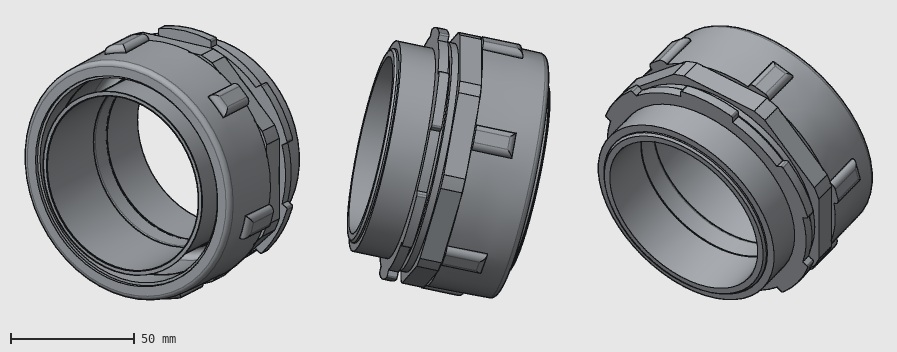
import cadquery as cq
import math


nut_front = 3.1
nut_shoulder = 15.3
seal_front = 16.3
nut_rear = 31.4
lip_front = 33.6
sleeve_rear = 33.8
valley_start = 36.2
seal_shoulder = 39.6
hex_rear = 40.5
seal_rear = 43.0
gasket_rear = 43.3
locknut_front = 45.1
locknut_rear = 49.2
body_rear = 63.7
overall_length = 65.4

sleeve_bore = 74.0
sleeve_wall = 0.2
flange_diameter = 78.0
flange_thickness = 0.4
flange_bore_chamfer = 0.3

through_bore = 73.5
seal_diameter = 89.0
seal_wall_diameter = 87.0
seal_lip_fillet = 1.1
bushing_diameter = 80.8
bushing_chamfer = 1.0
bushing_bore_chamfer = 0.4

octagon_sides = 8
octagon_across_flats = 99.1
octagon_corner_diameter = 105.0
thread_diameter = 87.5
neck_diameter = 92.0

gasket_diameter = 95.1

locknut_root_diameter = 98.9
locknut_tip_diameter = 104.6
lug_count = 6
lug_width = 25.8
lug_fillet = 0.8

nut_front_diameter = 101.6
nut_rear_diameter = 102.7
nut_fillet = 2.1
nut_recess_diameter = 89.4
nut_recess_depth = 1.5
rib_count = 6
rib_first_angle = 45.0
rib_top_radius = 53.9
rib_width = 10.6
rib_front = 14.5
rib_fillet = 2.6
rib_root_radius = 48.6


def plane_at(y):
    """Plane across the axis at y, with its normal along +Y and local Y along +Z."""
    return cq.Plane(origin=(0, y, 0), xDir=(-1, 0, 0), normal=(0, 1, 0))


def disc(diameter, y_front, y_rear):
    return cq.Workplane(plane_at(y_front)).circle(diameter / 2).extrude(y_rear - y_front)


def ring(outer_diameter, inner_diameter, y_front, y_rear):
    return disc(outer_diameter, y_front, y_rear).cut(disc(inner_diameter, y_front, y_rear))


def chamfer_front_bore(part, size):
    """Chamfer the smallest circle on the front face of a ring-shaped part."""
    return part.faces("<Y").edges(cq.selectors.RadiusNthSelector(0)).chamfer(size)


def make_sleeve():
    """Thin tube with a flange around its front end; its rear rests on the rounded lip of the seal."""
    outer_diameter = sleeve_bore + 2 * sleeve_wall
    tube = ring(outer_diameter, sleeve_bore, 0, sleeve_rear)
    flange = ring(flange_diameter, sleeve_bore, 0, flange_thickness)
    return chamfer_front_bore(tube.union(flange), flange_bore_chamfer)


def make_seal():
    """Cup with a round-bottomed valley between its outer wall and its inner lip."""
    bore_radius = through_bore / 2
    lip_radius = bore_radius + seal_lip_fillet
    wall_radius = seal_wall_diameter / 2
    valley_radius = (wall_radius - lip_radius) / 2
    fillet_middle = seal_lip_fillet * (1 - math.sqrt(0.5))
    return (
        cq.Workplane("XY")
        .moveTo(bore_radius, seal_rear)
        .lineTo(bore_radius, lip_front + seal_lip_fillet)
        .threePointArc(
            (bore_radius + fillet_middle, lip_front + fillet_middle),
            (lip_radius, lip_front),
        )
        .lineTo(lip_radius, valley_start)
        .threePointArc(
            (lip_radius + valley_radius, valley_start + valley_radius),
            (wall_radius, valley_start),
        )
        .lineTo(wall_radius, seal_front)
        .lineTo(seal_diameter / 2, seal_front)
        .lineTo(seal_diameter / 2, seal_shoulder)
        .lineTo(bushing_diameter / 2, seal_shoulder)
        .lineTo(bushing_diameter / 2, seal_rear)
        .close()
        .revolve(360, (0, 0, 0), (0, 1, 0))
    )


def make_bushing():
    """Ring behind the seal that stands out of the rear of the body."""
    bushing = disc(bushing_diameter, seal_rear, overall_length)
    bushing = bushing.faces(">Y").edges().chamfer(bushing_chamfer)
    bushing = bushing.cut(disc(through_bore, seal_rear, overall_length))
    return chamfer_front_bore(bushing, bushing_bore_chamfer)


def make_body():
    """Octagon between a front neck, which the cap nut covers, and a rear thread."""
    octagon = (
        cq.Workplane(plane_at(nut_rear))
        .polygon(octagon_sides, octagon_across_flats, circumscribed=True)
        .extrude(hex_rear - nut_rear)
        .intersect(disc(octagon_corner_diameter, nut_rear, hex_rear))
    )
    neck = disc(neck_diameter, nut_shoulder, nut_rear)
    thread = disc(thread_diameter, hex_rear, body_rear)
    body = octagon.union(neck).union(thread)
    body = body.cut(disc(seal_diameter, nut_shoulder, seal_shoulder))
    return body.cut(disc(bushing_diameter, seal_shoulder, body_rear))


def make_gasket():
    return ring(gasket_diameter, thread_diameter, hex_rear, gasket_rear)


def make_locknut():
    """Ring with lugs; each bar across it forms two opposite lugs."""
    thickness = locknut_rear - locknut_front
    locknut = disc(locknut_root_diameter, locknut_front, locknut_rear)
    lug_bar = (
        cq.Workplane(plane_at(locknut_front))
        .rect(lug_width, locknut_tip_diameter)
        .extrude(thickness)
        .intersect(disc(locknut_tip_diameter, locknut_front, locknut_rear))
        .edges("|Y")
        .fillet(lug_fillet)
    )
    for index in range(lug_count // 2):
        angle = index * 360 / lug_count
        locknut = locknut.union(lug_bar.rotate((0, 0, 0), (0, 1, 0), angle))
    return locknut.cut(disc(thread_diameter, locknut_front, locknut_rear))


def make_rib():
    """Grip rib that stands out along +Z, rounded on its top edges and its front end."""
    return (
        cq.Workplane("XY")
        .box(
            rib_width,
            nut_rear - rib_front,
            rib_top_radius - rib_root_radius,
            centered=(True, False, False),
        )
        .translate((0, rib_front, rib_root_radius))
        .edges(">Z and (not >Y)")
        .fillet(rib_fillet)
    )


def make_cap_nut():
    """Slightly conical nut with grip ribs and a stepped bore."""
    nut = (
        cq.Workplane("XY")
        .polyline([
            (0, nut_front),
            (nut_front_diameter / 2, nut_front),
            (nut_rear_diameter / 2, nut_rear),
            (0, nut_rear),
        ])
        .close()
        .revolve(360, (0, 0, 0), (0, 1, 0))
        .faces("<Y")
        .edges()
        .fillet(nut_fillet)
    )
    rib = make_rib()
    for index in range(rib_count):
        angle = rib_first_angle + index * 360 / rib_count
        nut = nut.union(rib.rotate((0, 0, 0), (0, 1, 0), angle))
    nut = nut.cut(disc(nut_recess_diameter, nut_front, nut_front + nut_recess_depth))
    nut = nut.cut(disc(seal_wall_diameter, nut_front, nut_shoulder))
    return nut.cut(disc(neck_diameter, nut_shoulder, nut_rear))


sleeve = make_sleeve()
seal = make_seal()
bushing = make_bushing()
body = make_body()
gasket = make_gasket()
locknut = make_locknut()
cap_nut = make_cap_nut()

result = cq.Compound.makeCompound([
    sleeve.val(),
    seal.val(),
    bushing.val(),
    body.val(),
    gasket.val(),
    locknut.val(),
    cap_nut.val(),
])